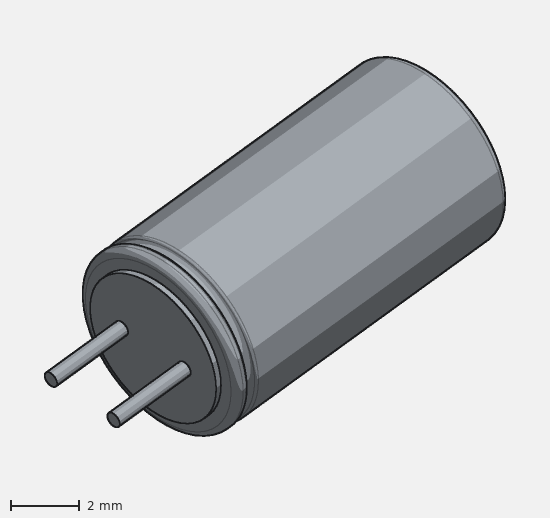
import cadquery as cq

total_length = 14.7
can_diameter = 6.3
can_edge_radius = 0.25

lead_length = 3.0
lead_diameter = 0.5
lead_spacing = 2.5

seal_diameter = 5.03
seal_height = 0.2

groove_radius = 0.18
groove_lip_radius = 0.1
groove_offset = 0.63

can_radius = can_diameter / 2
lead_end = -total_length / 2
seal_end = lead_end + lead_length
can_end = seal_end + seal_height
can_length = total_length / 2 - can_end
groove_position = can_end + groove_offset


def rod(diameter, start, length, x=0):
    """Cylinder along +Y, beginning at y = start."""
    base = cq.Workplane("XZ", origin=(x, start, 0)).circle(diameter / 2)
    return base.extrude(-length)


def crimp_groove():
    """Ring with a round section, centred on the can's outer surface."""
    section = cq.Workplane("XY").center(can_radius, groove_position).circle(groove_radius)
    return section.revolve(360, (-can_radius, 0, 0), (-can_radius, 1, 0))


def can():
    """Can with rounded ends and a crimp groove with rounded lips."""
    body = rod(can_diameter, can_end, can_length)
    body = body.faces("<Y or >Y").edges().fillet(can_edge_radius)
    body = body.cut(crimp_groove())

    lip_reach = groove_radius + groove_lip_radius
    lip_zone = cq.selectors.BoxSelector(
        (-can_diameter, groove_position - lip_reach, -can_diameter),
        (can_diameter, groove_position + lip_reach, can_diameter),
    )
    lips = body.edges(lip_zone).edges("%CIRCLE").edges(
        cq.selectors.RadiusNthSelector(-1)
    )
    return lips.fillet(groove_lip_radius)


inner_end = can_end + can_length / 2
result = can().union(rod(seal_diameter, seal_end, inner_end - seal_end))
for side in (-1, 1):
    lead = rod(lead_diameter, lead_end, inner_end - lead_end, side * lead_spacing / 2)
    result = result.union(lead)